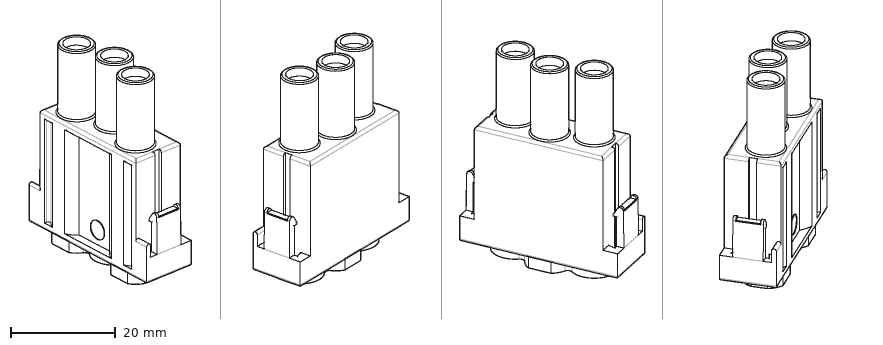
import cadquery as cq
import math

total_height = 42.9
base_length = 34.0
body_length = 27.7
depth = 11.4
front_y = -depth / 2

body_bottom = 2.5
ledge_top = 8.0
guard_top = 11.0
body_top = 28.0

bottom_round = 0.5
top_round = 0.6
guard_thickness = 1.0
groove_width = 1.6
groove_depth = 0.6

pin_pitch = 8.5
pin_stagger = 1.07
pin_centers = [
    (-pin_pitch, -pin_stagger),
    (0, pin_stagger),
    (pin_pitch, -pin_stagger),
]
tube_diameter = 7.3
tube_bore = 5.3
tube_bore_depth = 1.8
tube_rim_chamfer = 0.28
tube_foot = 0.32

boss_radius = 4.8
boss_half_length = 13.0
boss_half_depth = 5.2
boss_blend = 0.9
joint_reach = 2.0

pocket_bottom = 4.0
pocket_top = 26.5
pocket_wall_radius = 4.93
middle_pocket_half_width = 6.75
middle_pocket_depth = 1.75
slot_outer_x = 12.6
slot_inner_x = 10.25
slot_corner_radius = 0.5

mark_diameter = 4.0
mark_x = 0.71
mark_z = 7.13
mark_depth = 0.15

arm_outer_x = base_length / 2
arm_inner_x = 15.43
arm_width = 6.1
arm_tip_x = 16.88
arm_head_radius = 0.7
arm_top = 16.55
hook_x = 14.65
hook_bottom = 14.35
hook_nose = 14.8
notch_width = 4.95
notch_floor = 15.92
notch_chamfer = 0.14

gap_outer_half_width = 3.84
gap_inner_half_width = 3.32


def box_between(low, high):
    """Axis-aligned box from its lowest to its highest corner."""
    size = [b - a for a, b in zip(low, high)]
    return cq.Workplane("XY").box(*size, centered=False).translate(low)


def on_both_ends(shape):
    """The shape together with its mirror image at the other X end."""
    return shape.union(shape.mirror("YZ"))


def make_body():
    body = box_between(
        (-body_length / 2, front_y, ledge_top),
        (body_length / 2, -front_y, body_top),
    )
    body = body.faces(">Z").edges().fillet(top_round)

    ledge = box_between(
        (-base_length / 2, front_y, body_bottom),
        (base_length / 2, -front_y, ledge_top),
    )
    ledge = ledge.faces("<Z").edges().fillet(bottom_round)

    guard_round = guard_thickness / 2
    guard_back_y = front_y + guard_thickness
    guard = (
        cq.Workplane("YZ", origin=(body_length / 2, 0, 0))
        .moveTo(front_y, ledge_top)
        .lineTo(guard_back_y, ledge_top)
        .lineTo(guard_back_y, guard_top - guard_round)
        .threePointArc((front_y + guard_round, guard_top), (front_y, guard_top - guard_round))
        .close()
        .extrude((base_length - body_length) / 2)
    )
    return body.union(ledge).union(on_both_ends(guard))


def make_end_openings():
    """Through gaps behind the latch arms and grooves in the body ends."""
    gap = (
        cq.Workplane("XY")
        .polyline([
            (body_length / 2, -gap_inner_half_width),
            (arm_inner_x, -gap_outer_half_width),
            (arm_inner_x, gap_outer_half_width),
            (body_length / 2, gap_inner_half_width),
        ])
        .close()
        .extrude(ledge_top)
    )
    groove = box_between(
        (body_length / 2 - groove_depth, -groove_width / 2, 0),
        (body_length / 2, groove_width / 2, body_top),
    )
    return on_both_ends(gap.union(groove))


def extrude_arm(outline, width):
    """Extrude a closed outline in the XZ plane, centred on Y."""
    return outline.close().extrude(width / 2, both=True)


def make_arm():
    head_x = arm_tip_x - arm_head_radius
    head_z = arm_top - arm_head_radius

    nose_distance = math.hypot(head_x - hook_x, head_z - hook_nose)
    nose_angle = math.atan2(hook_nose - head_z, hook_x - head_x) % (2 * math.pi)
    tangent_angle = nose_angle - math.acos(arm_head_radius / nose_distance)
    tangent_x = head_x + arm_head_radius * math.cos(tangent_angle)
    tangent_z = head_z + arm_head_radius * math.sin(tangent_angle)

    outline = (
        cq.Workplane("XZ")
        .moveTo(arm_inner_x, ledge_top)
        .lineTo(arm_outer_x, ledge_top)
        .lineTo(arm_tip_x, head_z)
        .threePointArc((head_x, arm_top), (tangent_x, tangent_z))
        .lineTo(hook_x, hook_nose)
        .lineTo(hook_x, hook_bottom)
        .lineTo(arm_inner_x, hook_bottom)
    )
    arm = extrude_arm(outline, arm_width)

    notch = extrude_arm(
        cq.Workplane("XZ")
        .moveTo(hook_x, notch_floor)
        .lineTo(arm_tip_x - notch_chamfer, notch_floor)
        .lineTo(arm_outer_x, notch_floor - 2 * notch_chamfer)
        .lineTo(arm_outer_x, arm_top)
        .lineTo(hook_x, arm_top),
        notch_width,
    )
    return arm.cut(notch)


def make_tube():
    """One contact tube standing at the origin of X and Y."""
    radius = tube_diameter / 2
    rim_radius = radius - tube_rim_chamfer
    bore_radius = tube_bore / 2
    bore_floor = total_height - tube_bore_depth
    foot_top = body_top + tube_foot
    root = body_top - top_round
    return (
        cq.Workplane("XZ")
        .moveTo(0, root)
        .lineTo(radius + tube_foot, root)
        .lineTo(radius + tube_foot, body_top)
        .lineTo(radius, foot_top)
        .lineTo(radius, total_height - tube_rim_chamfer)
        .lineTo(rim_radius, total_height)
        .lineTo(bore_radius, total_height)
        .lineTo(bore_radius, bore_floor)
        .lineTo(0, bore_floor)
        .close()
        .revolve()
    )


def make_bosses():
    """Three merged round bosses with blended joints and flats at the rim."""
    bosses = cq.Workplane("XY")
    for center in pin_centers:
        boss = cq.Workplane("XY").center(*center).circle(boss_radius).extrude(body_bottom)
        bosses = bosses.union(boss)
    joints = cq.selectors.BoxSelector(
        (-pin_pitch / 2 - joint_reach, -depth, 0),
        (pin_pitch / 2 + joint_reach, depth, body_bottom),
    )
    bosses = bosses.edges("|Z").edges(joints).fillet(boss_blend)
    limits = box_between(
        (-boss_half_length, -boss_half_depth, 0),
        (boss_half_length, boss_half_depth, body_bottom),
    )
    return bosses.intersect(limits)


def make_front_recesses():
    pocket_height = pocket_top - pocket_bottom
    floor_y = front_y + middle_pocket_depth
    middle = box_between(
        (-middle_pocket_half_width, front_y, pocket_bottom),
        (middle_pocket_half_width, floor_y, pocket_top),
    )
    wall = (
        cq.Workplane("XY", origin=(0, 0, pocket_bottom))
        .pushPoints([pin_centers[0], pin_centers[2]])
        .circle(pocket_wall_radius)
        .extrude(pocket_height)
    )
    middle = middle.cut(wall)
    mark = (
        cq.Workplane("XZ", origin=(mark_x, floor_y, mark_z))
        .circle(mark_diameter / 2)
        .extrude(-mark_depth)
    )
    return middle.union(mark).union(on_both_ends(make_side_slot(pocket_height)))


def make_side_slot(height):
    """Narrow slot whose rounded corner meets the curved wall tangentially."""
    center_x, center_y = pin_centers[2]
    corner_x = slot_outer_x - slot_corner_radius
    center_distance = pocket_wall_radius + slot_corner_radius
    corner_angle = -math.acos((corner_x - center_x) / center_distance)
    corner_y = center_y + center_distance * math.sin(corner_angle)

    def on_wall(angle):
        return (
            center_x + pocket_wall_radius * math.cos(angle),
            center_y + pocket_wall_radius * math.sin(angle),
        )

    inner_angle = -math.acos((slot_inner_x - center_x) / pocket_wall_radius)
    middle_angle = (corner_angle + inner_angle) / 2
    corner_middle_angle = (corner_angle + math.pi) / 2
    corner_middle = (
        corner_x + slot_corner_radius * math.cos(corner_middle_angle),
        corner_y + slot_corner_radius * math.sin(corner_middle_angle),
    )
    return (
        cq.Workplane("XY", origin=(0, 0, pocket_bottom))
        .moveTo(slot_inner_x, front_y)
        .lineTo(slot_outer_x, front_y)
        .lineTo(slot_outer_x, corner_y)
        .threePointArc(corner_middle, on_wall(corner_angle))
        .threePointArc(on_wall(middle_angle), on_wall(inner_angle))
        .close()
        .extrude(height)
    )


result = make_body().cut(make_end_openings()).cut(make_front_recesses())
result = result.union(make_bosses()).union(on_both_ends(make_arm()))
tube = make_tube()
for x, y in pin_centers:
    result = result.union(tube.translate((x, y, 0)))